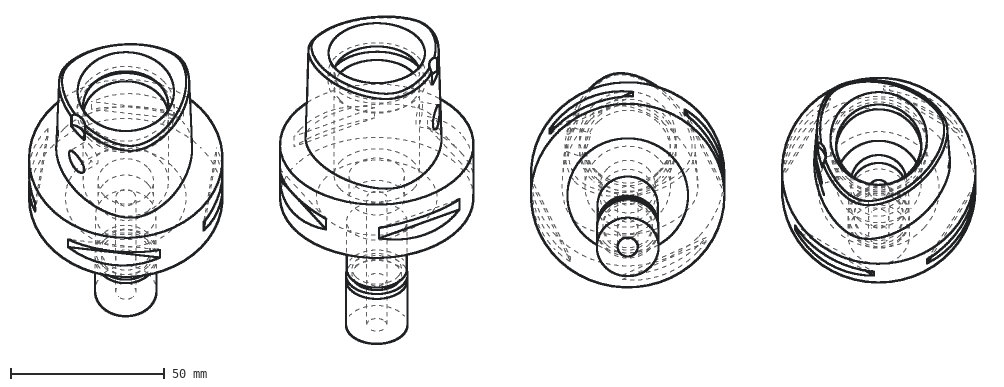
import cadquery as cq
import math

total_height = 113.0
flange_top = 75.0
flange_bottom = 52.9
cone_bottom = 43.0
neck_top = 23.3
neck_bottom = 20.8
sleeve_top = 18.8

flange_radius = 31.5
shank_radius = 9.8
cone_radius = shank_radius + flange_bottom - cone_bottom
neck_radius = 8.0
sleeve_radius = 10.1
through_radius = 3.3

polygon_radius = 22.1
lobe_height = 1.5
taper_slope = 1 / 40
outline_points = 36
edge_inset = 1.0
edge_height = 1.4

mouth_radius = 15.7
bore_radius = 13.9
groove_radius = 15.8
mouth_depth = 6.5
groove_start = 8.2
groove_end = 12.0
groove_cone_end = groove_end + groove_radius - bore_radius
bore_floor = 62.2
counterbore_radius = 9.0
counterbore_floor = flange_bottom

notch_width = 7.1
notch_depth = 6.3
notch_crown = 17.9
notch_arc_radius = 5.1
side_hole_radius = 4.1
side_hole_height = 90.5
side_hole_floor = 14.4

slot_count = 4
slot_height = 63.2
slot_floor_distance = 27.7
slot_floor_width = 4.3
slot_mouth_width = 7.8


def polygon_point(angle, radius):
    """Point of the constant-width curve with support radius + lobe_height * cos(3 * angle)."""
    support = radius + lobe_height * math.cos(3 * angle)
    slope = -3 * lobe_height * math.sin(3 * angle)
    across = support * math.sin(angle) + slope * math.cos(angle)
    along = support * math.cos(angle) - slope * math.sin(angle)
    return across, along


def polygon_wire(radius, height):
    """Closed polygon outline, with one lobe pointing along +Y."""
    points = []
    for index in range(outline_points):
        across, along = polygon_point(2 * math.pi * index / outline_points, radius)
        points.append(cq.Vector(across, along, height))
    return cq.Wire.assembleEdges([cq.Edge.makeSpline(points, periodic=True)])


def make_polygon():
    edge_bottom = total_height - edge_height
    edge_radius = polygon_radius - taper_slope * (edge_bottom - flange_top)
    base = polygon_wire(polygon_radius, flange_top)
    edge = polygon_wire(edge_radius, edge_bottom)
    top = polygon_wire(edge_radius - edge_inset, total_height)
    return cq.Workplane(cq.Solid.makeLoft([base, edge, top], True))


def make_bore():
    profile = [
        (0, total_height),
        (mouth_radius, total_height),
        (bore_radius, total_height - mouth_depth),
        (bore_radius, total_height - groove_start),
        (groove_radius, total_height - groove_start),
        (groove_radius, total_height - groove_end),
        (bore_radius, total_height - groove_cone_end),
        (bore_radius, bore_floor),
        (counterbore_radius, bore_floor),
        (counterbore_radius, counterbore_floor),
        (through_radius, counterbore_floor),
        (through_radius, 0),
        (0, 0),
    ]
    return cq.Workplane("XZ").polyline(profile).close().revolve(360, (0, 0, 0), (0, 1, 0))


def make_notch():
    half = notch_width / 2
    sag = notch_arc_radius - math.sqrt(notch_arc_radius**2 - half**2)
    side_start = -notch_crown - sag
    return (
        cq.Workplane("XY", origin=(0, 0, total_height - notch_depth))
        .moveTo(-half, -flange_radius)
        .lineTo(-half, side_start)
        .threePointArc((0, -notch_crown), (half, side_start))
        .lineTo(half, -flange_radius)
        .close()
        .extrude(notch_depth)
    )


def make_side_hole():
    return (
        cq.Workplane("XZ", origin=(0, -side_hole_floor, side_hole_height))
        .circle(side_hole_radius)
        .extrude(flange_radius - side_hole_floor)
    )


def make_slot(angle):
    """Straight slot across the flange, its walls opening from the floor to the rim."""
    profile = [
        (slot_floor_distance, slot_height - slot_floor_width / 2),
        (flange_radius, slot_height - slot_mouth_width / 2),
        (flange_radius, slot_height + slot_mouth_width / 2),
        (slot_floor_distance, slot_height + slot_floor_width / 2),
    ]
    slot = cq.Workplane("XZ").polyline(profile).close().extrude(flange_radius, both=True)
    return slot.rotate((0, 0, 0), (0, 0, 1), angle)


def make_holder():
    profile = [
        (0, flange_top),
        (flange_radius, flange_top),
        (flange_radius, flange_bottom),
        (cone_radius, flange_bottom),
        (shank_radius, cone_bottom),
        (shank_radius, neck_top),
        (neck_radius, neck_top),
        (neck_radius, neck_bottom),
        (sleeve_radius, neck_bottom),
        (sleeve_radius, sleeve_top),
        (0, sleeve_top),
    ]
    turned = cq.Workplane("XZ").polyline(profile).close().revolve(360, (0, 0, 0), (0, 1, 0))
    holder = turned.union(make_polygon()).cut(make_bore())
    holder = holder.cut(make_notch()).cut(make_side_hole())
    for index in range(slot_count):
        holder = holder.cut(make_slot((index + 0.5) * 360 / slot_count))
    return holder


def make_sleeve():
    return cq.Workplane("XY").circle(sleeve_radius).circle(through_radius).extrude(sleeve_top)


holder = make_holder()
sleeve = make_sleeve()
result = cq.Compound.makeCompound([holder.val(), sleeve.val()])